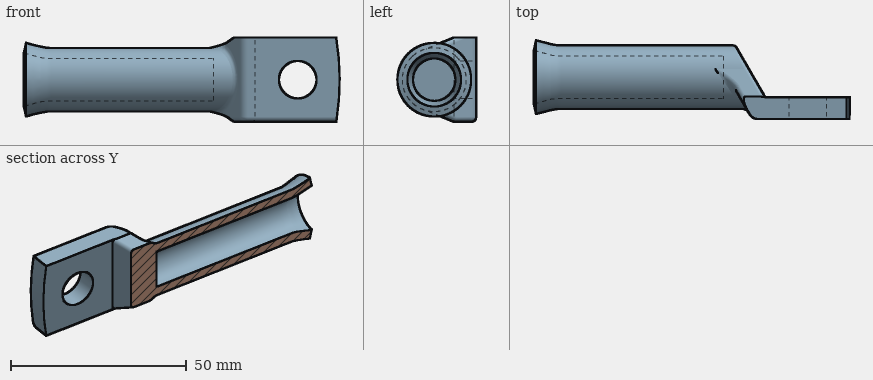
import cadquery as cq
import math

length = 89.9

barrel_radius = 9.1
bore_radius = 6.0
bore_depth = 54.0
flare_radius = 10.5
flare_lip = 0.6
mouth_radius = 7.6
flare_cone_end = 4.9
flare_end = 7.6
flare_step = 0.4
bore_step = 0.3

palm_width = 24.0
palm_thickness = 6.3
palm_front = -12.0
palm_back = palm_front + palm_thickness
web_angle = 60.0
bend_x = 62.2
bend_radius = 2.7
shoulder_y = -5.5
taper_sink = 0.1
strip_overrun = 0.9
end_arc_rise = 1.0
hole_radius = 5.3
hole_x = 78.0

edge_radius = 1.35
junction_radius = 1.8

half_width = palm_width / 2
run_per_rise = 1 / math.tan(math.radians(web_angle))
web_run = palm_thickness / math.sin(math.radians(web_angle))


def nearest_edge(x, y, z):
    """Selector for the edge whose center is nearest to a point."""
    return cq.selectors.NearestToPointSelector((x, y, z))


def web_front_x(y):
    """X of the web's sloping front plane at height y."""
    return bend_x - (y - palm_front) * run_per_rise


def web_back_x(y):
    """X of the web's sloping back plane at height y."""
    return web_front_x(y) + web_run


def touch_point():
    """Point (y, z) where the upper web side runs just inside the barrel surface."""
    radius = barrel_radius - taper_sink
    distance = math.hypot(shoulder_y, half_width)
    angle = math.atan2(half_width, shoulder_y) - math.acos(radius / distance)
    return radius * math.cos(angle), radius * math.sin(angle)


def make_strip():
    """Bent strip of web and palm at the full palm width."""
    top = barrel_radius + strip_overrun
    strip = (
        cq.Workplane("XY")
        .moveTo(bend_x, palm_front)
        .lineTo(length, palm_front)
        .lineTo(length, palm_back)
        .lineTo(web_back_x(palm_back), palm_back)
        .lineTo(web_back_x(top), top)
        .lineTo(web_front_x(top), top)
        .close()
        .extrude(half_width, both=True)
    )
    return strip.edges(nearest_edge(bend_x, palm_front, 0)).fillet(bend_radius)


def make_width_envelope():
    """Prism along X: palm width tapering into the barrel, plus the barrel itself."""
    touch_y, touch_z = touch_point()
    taper = (
        cq.Workplane("YZ")
        .moveTo(palm_front, -half_width)
        .lineTo(shoulder_y, -half_width)
        .lineTo(touch_y, -touch_z)
        .lineTo(touch_y, touch_z)
        .lineTo(shoulder_y, half_width)
        .lineTo(palm_front, half_width)
        .close()
        .extrude(length)
    )
    return taper.union(cq.Workplane("YZ").circle(barrel_radius).extrude(length))


def make_barrel_core():
    """Plain round bar cut off flush with the web's back plane."""
    bar = cq.Workplane("YZ", origin=(flare_end, 0, 0)).circle(barrel_radius).extrude(length)
    inside_web_x = web_front_x(-barrel_radius) + web_run / 2
    keep = (
        cq.Workplane("XY")
        .moveTo(0, -barrel_radius)
        .lineTo(inside_web_x, -barrel_radius)
        .lineTo(inside_web_x, palm_back)
        .lineTo(web_back_x(palm_back), palm_back)
        .lineTo(web_back_x(barrel_radius), barrel_radius)
        .lineTo(0, barrel_radius)
        .close()
        .extrude(palm_width, both=True)
    )
    return bar.intersect(keep)


def make_flare():
    """Solid flared mouth that blends tangentially into the barrel."""
    return (
        cq.Workplane("XY")
        .lineTo(0, mouth_radius)
        .lineTo(flare_lip, flare_radius)
        .lineTo(flare_cone_end, barrel_radius + flare_step)
        .spline(
            [(flare_end, barrel_radius)],
            tangents=[
                (flare_cone_end - flare_lip, barrel_radius + flare_step - flare_radius),
                (1, 0),
            ],
            includeCurrent=True,
        )
        .lineTo(flare_end, 0)
        .close()
        .revolve(360, (0, 0, 0), (1, 0, 0))
    )


def make_bore():
    """Blind bore with a funnel entry following the flare."""
    return (
        cq.Workplane("XY")
        .lineTo(0, mouth_radius)
        .lineTo(flare_cone_end, bore_radius + bore_step)
        .spline(
            [(flare_end, bore_radius)],
            tangents=[
                (flare_cone_end, bore_radius + bore_step - mouth_radius),
                (1, 0),
            ],
            includeCurrent=True,
        )
        .lineTo(bore_depth, bore_radius)
        .lineTo(bore_depth, 0)
        .close()
        .revolve(360, (0, 0, 0), (1, 0, 0))
    )


def make_end_trim():
    """Outline whose far end is a shallow arc across the palm."""
    corner_x = length - end_arc_rise
    return (
        cq.Workplane("XZ")
        .moveTo(0, -half_width)
        .lineTo(corner_x, -half_width)
        .threePointArc((length, 0), (corner_x, half_width))
        .lineTo(0, half_width)
        .close()
        .extrude(palm_width, both=True)
    )


body = make_strip().union(make_barrel_core())
body = body.edges(nearest_edge(web_front_x(0), 0, 0)).fillet(junction_radius)
body = body.intersect(make_width_envelope())

touch_y, touch_z = touch_point()
taper_y = (shoulder_y + touch_y) / 2
taper_z = (half_width + touch_z) / 2
palm_edge = nearest_edge((bend_x + length) / 2, palm_front, -half_width)
lower_taper = nearest_edge(web_front_x(taper_y), taper_y, -taper_z)
upper_taper = nearest_edge(web_front_x(taper_y), taper_y, taper_z)
body = body.edges(upper_taper).fillet(edge_radius)
body = body.edges(palm_edge + lower_taper).fillet(edge_radius)

back_rim = nearest_edge(web_back_x(barrel_radius), barrel_radius, 0)
for side_z in (-taper_z, taper_z):
    back_rim += nearest_edge(web_back_x(taper_y), taper_y, side_z)
body = body.edges(back_rim).fillet(edge_radius)

hole = (
    cq.Workplane("XZ")
    .center(hole_x, 0)
    .circle(hole_radius)
    .extrude(palm_width, both=True)
)
result = body.union(make_flare()).cut(make_bore()).cut(hole).intersect(make_end_trim())